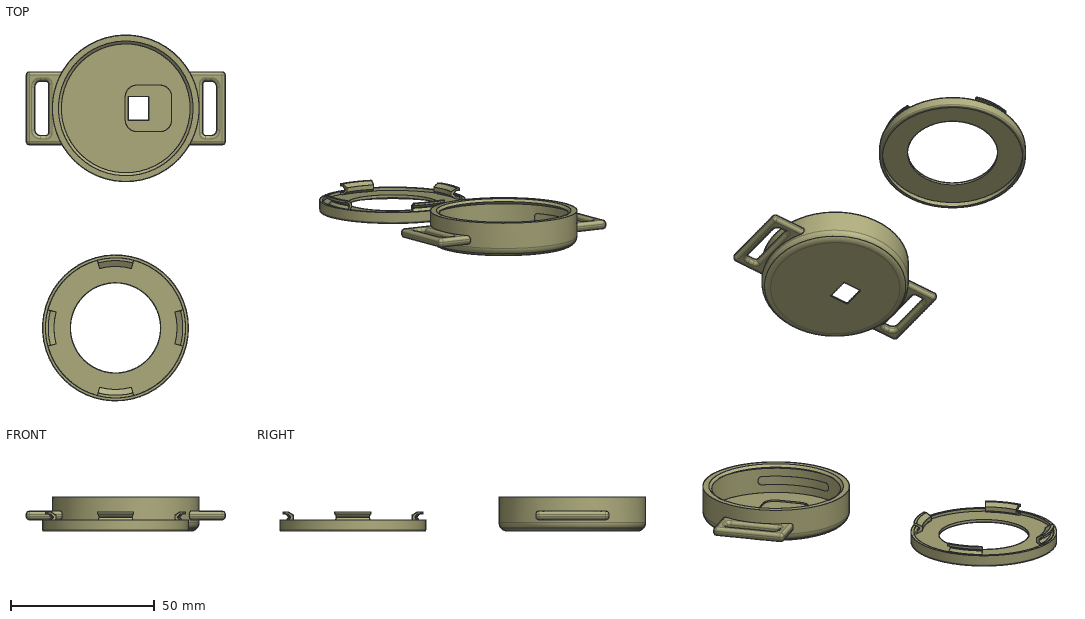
import cadquery as cq

CUP_DIAMETER = 51.0
CUP_HEIGHT = 12.0
CUP_BORE_DIAMETER = 49.0
CUP_FLOOR = 1.0
CUP_BOTTOM_FILLET = 3.0

LIP_MOUTH_RADIUS = 23.4
LIP_POINT_RADIUS = 22.4
LIP_POINT_DEPTH = 0.9
LIP_DEPTH = 2.0

RECESS_SIZE = 16.1
RECESS_CORNER_RADIUS = 4.1
RECESS_DEPTH = 0.5
RECESS_CENTER_X = 7.9
WINDOW_LENGTH = 7.0
WINDOW_WIDTH = 8.1
WINDOW_CENTER_X = 4.5

LUG_SPAN = 69.1
LUG_WIDTH = 25.4
LUG_BOTTOM = 4.0
LUG_THICKNESS = 3.0
LUG_FILLET = 1.2
SLOT_INNER_X = 26.8
SLOT_OUTER_X = 31.5
SLOT_WIDTH = 18.8
SLOT_INNER_RADIUS = 0.9
SLOT_OUTER_RADIUS = 1.9

TOTAL_LENGTH = 127.1
LID_DIAMETER = 50.7
LID_HEIGHT = 4.0
LID_RECESS_DIAMETER = 48.7
LID_RECESS_DEPTH = 1.0
LID_PLATE_THICKNESS = 1.0
LID_OPENING_DIAMETER = 31.3
LID_BOTTOM_FILLET = 0.5
LID_CENTER_X = -3.5
LID_CENTER_Y = CUP_DIAMETER / 2 - TOTAL_LENGTH + LID_DIAMETER / 2

CLIP_COUNT = 4
CLIP_ANGLE = 30.0
CLIP_HEIGHT = 3.8
CLIP_BACK_RADIUS = 21.3
CLIP_BACK_HEIGHT = 1.5
CLIP_NOTCH_RADIUS = LIP_POINT_RADIUS
CLIP_NOTCH_HEIGHT = 0.3
CLIP_NOTCH_MOUTH_RADIUS = 23.3
CLIP_ARM_RADIUS = 23.4
CLIP_TIP_RADIUS = LID_RECESS_DIAMETER / 2
CLIP_TIP_THICKNESS = 0.8


def slot_cutter():
    """Strap slot with rounder corners on the side away from the cup."""
    return (
        cq.Workplane("XY", origin=((SLOT_INNER_X + SLOT_OUTER_X) / 2, 0, LUG_BOTTOM))
        .rect(SLOT_OUTER_X - SLOT_INNER_X, SLOT_WIDTH)
        .extrude(LUG_THICKNESS)
        .edges("|Z and >X")
        .fillet(SLOT_OUTER_RADIUS)
        .edges("|Z and <X")
        .fillet(SLOT_INNER_RADIUS)
    )


def make_lug(angle):
    """Slotted lug along +X, ending flush with the cup bore, then turned about Z."""
    plate = (
        cq.Workplane("XY", origin=(0, 0, LUG_BOTTOM))
        .rect(LUG_SPAN / 2, LUG_WIDTH)
        .extrude(LUG_THICKNESS)
        .translate((LUG_SPAN / 4, 0, 0))
        .edges("|X or >X")
        .fillet(LUG_FILLET)
    )
    slot_rim = cq.selectors.BoxSelector(
        (SLOT_INNER_X - LUG_FILLET / 2, -SLOT_WIDTH, 0),
        (SLOT_OUTER_X + LUG_FILLET / 2, SLOT_WIDTH, CUP_HEIGHT),
    )
    plate = plate.cut(slot_cutter()).faces("<Z or >Z").edges(slot_rim).fillet(LUG_FILLET)
    bore = cq.Workplane("XY").circle(CUP_BORE_DIAMETER / 2).extrude(CUP_HEIGHT)
    return plate.cut(bore).rotate((0, 0, 0), (0, 0, 1), angle)


def make_cup(lugs):
    """Round cup with an inner snap lip, a floor window and an opening for each lug."""
    cup = (
        cq.Workplane("XY")
        .circle(CUP_DIAMETER / 2)
        .extrude(CUP_HEIGHT)
        .faces("<Z")
        .edges()
        .fillet(CUP_BOTTOM_FILLET)
    )
    bore_radius = CUP_BORE_DIAMETER / 2
    cavity_profile = [
        (0, CUP_FLOOR),
        (bore_radius, CUP_FLOOR),
        (bore_radius, CUP_HEIGHT - LIP_DEPTH),
        (LIP_POINT_RADIUS, CUP_HEIGHT - LIP_POINT_DEPTH),
        (LIP_MOUTH_RADIUS, CUP_HEIGHT),
        (0, CUP_HEIGHT),
    ]
    cavity = cq.Workplane("XZ").polyline(cavity_profile).close().revolve(360, (0, 0, 0), (0, 1, 0))
    recess = (
        cq.Workplane("XY", origin=(RECESS_CENTER_X, 0, CUP_FLOOR - RECESS_DEPTH))
        .rect(RECESS_SIZE, RECESS_SIZE)
        .extrude(RECESS_DEPTH)
        .edges("|Z")
        .fillet(RECESS_CORNER_RADIUS)
    )
    window = (
        cq.Workplane("XY", origin=(WINDOW_CENTER_X, 0, 0))
        .rect(WINDOW_LENGTH, WINDOW_WIDTH)
        .extrude(CUP_FLOOR)
    )
    cup = cup.cut(cavity).cut(recess).cut(window)
    for lug in lugs:
        cup = cup.cut(lug)
    return cup


def make_clip(angle):
    """C-shaped clip, symmetric top to bottom, swept over a short arc centred on the given angle."""
    middle = LID_HEIGHT - LID_RECESS_DEPTH + CLIP_HEIGHT / 2
    mouth_height = CLIP_HEIGHT / 2 - CLIP_TIP_THICKNESS
    upper_half = [
        (CLIP_NOTCH_RADIUS, CLIP_NOTCH_HEIGHT / 2),
        (CLIP_NOTCH_MOUTH_RADIUS, mouth_height),
        (CLIP_TIP_RADIUS, mouth_height),
        (CLIP_TIP_RADIUS, CLIP_HEIGHT / 2),
        (CLIP_ARM_RADIUS, CLIP_HEIGHT / 2),
        (CLIP_BACK_RADIUS, CLIP_BACK_HEIGHT / 2),
    ]
    upper_profile = [(radius, middle + height) for radius, height in upper_half]
    lower_profile = [(radius, middle - height) for radius, height in reversed(upper_half)]
    return (
        cq.Workplane("XZ")
        .polyline(upper_profile + lower_profile)
        .close()
        .revolve(CLIP_ANGLE, (0, 0, 0), (0, 1, 0))
        .rotate((0, 0, 0), (0, 0, 1), angle - CLIP_ANGLE / 2)
    )


def make_lid():
    """Ring-shaped lid recessed above and below its plate, with clips on the plate."""
    lid = (
        cq.Workplane("XY")
        .circle(LID_DIAMETER / 2)
        .extrude(LID_HEIGHT)
        .faces("<Z")
        .edges()
        .fillet(LID_BOTTOM_FILLET)
    )
    recess = (
        cq.Workplane("XY", origin=(0, 0, LID_HEIGHT - LID_RECESS_DEPTH))
        .circle(LID_RECESS_DIAMETER / 2)
        .extrude(LID_RECESS_DEPTH)
    )
    underside_height = LID_HEIGHT - LID_RECESS_DEPTH - LID_PLATE_THICKNESS
    underside = cq.Workplane("XY").circle(LID_RECESS_DIAMETER / 2).extrude(underside_height)
    opening = cq.Workplane("XY").circle(LID_OPENING_DIAMETER / 2).extrude(LID_HEIGHT)
    lid = lid.cut(recess).cut(underside).cut(opening)
    for index in range(CLIP_COUNT):
        lid = lid.union(make_clip(index * 360 / CLIP_COUNT))
    return lid.translate((LID_CENTER_X, LID_CENTER_Y, 0))


lugs = [make_lug(angle) for angle in (0, 180)]
cup = make_cup(lugs)
lid = make_lid()

result = cq.Compound.makeCompound([cup.val(), *[lug.val() for lug in lugs], lid.val()])